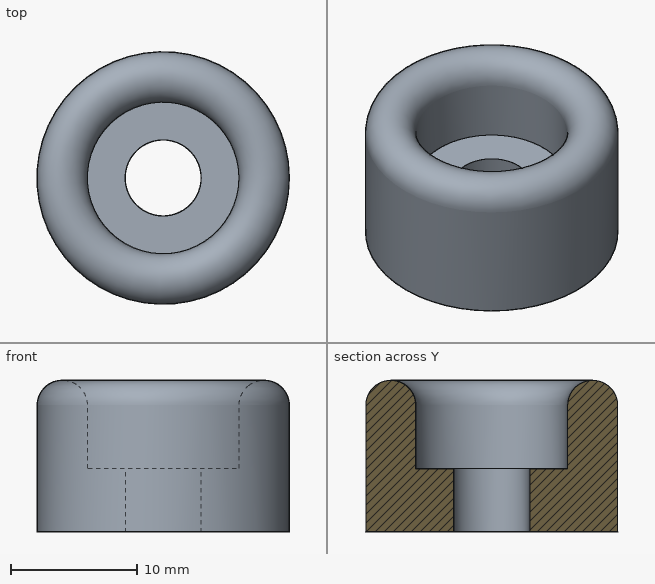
import cadquery as cq

outer_diameter = 20
height = 12
pocket_diameter = 12
hole_diameter = 6
floor_thickness = 5

outer_radius = outer_diameter / 2
pocket_radius = pocket_diameter / 2
hole_radius = hole_diameter / 2
rim_radius = (outer_radius - pocket_radius) / 2
rim_start = height - rim_radius
rim_center = pocket_radius + rim_radius

section = (
    cq.Workplane("XZ")
    .moveTo(hole_radius, 0)
    .lineTo(outer_radius, 0)
    .lineTo(outer_radius, rim_start)
    .threePointArc((rim_center, height), (pocket_radius, rim_start))
    .lineTo(pocket_radius, floor_thickness)
    .lineTo(hole_radius, floor_thickness)
    .close()
)

result = section.revolve(360, (0, 0, 0), (0, 1, 0))